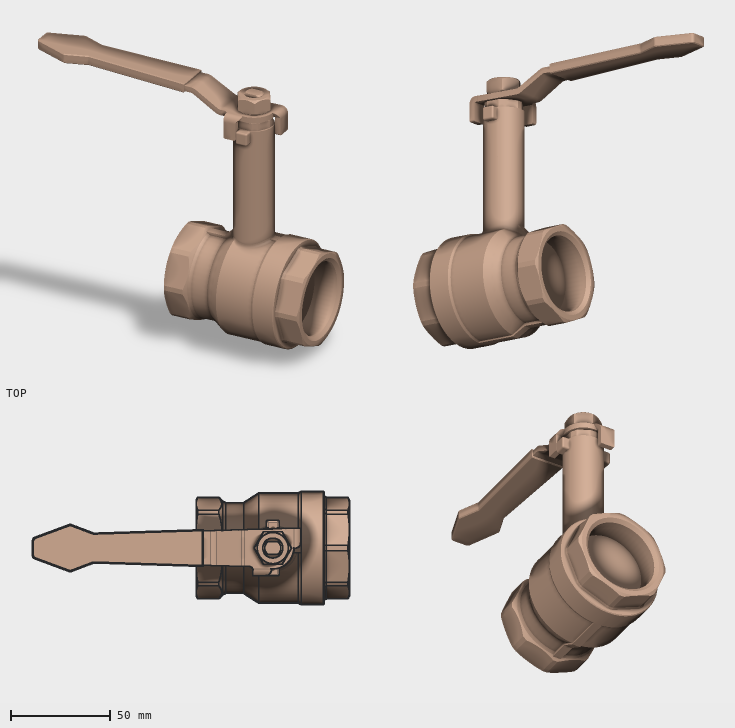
import cadquery as cq
import math


overall_length = 159.5
overall_height = 139.6

half_length = 38.6
ring_radius = 57.0 / 2
barrel_radius = 27.8
neck_radius = 22.8
collar_radius = 23.6
wrench_inner_left = -25.2
neck_start = -23.6
neck_end = -14.7
barrel_start = -7.0
barrel_end = 13.0
ring_start = 14.2
ring_end = 25.8
ring_chamfer = 0.5

octagon_sides = 8
octagon_apothem = 24.1
octagon_corner = 25.5
end_chamfer = 0.8
end_chamfer_radius = 24.0
end_rim_radius = 2 * octagon_corner - end_chamfer_radius
inner_chamfer = 1.8
foot_length = 1.1
foot_flare = 0.6

bore_radius = 39.0 / 2
bore_mouth_radius = 21.4
bore_mouth_depth = 1.6
bore_depth = 14.4

rib_width = 4.6
neck_rib_radius = 24.2
rib_shoulder_start = -15.5
rib_shoulder_end = -10.4
rib_shoulder_top = 29.7

column_radius = 21.0 / 2
column_top = 90.5
column_fillet = 1.6
lug_width = 6.5
lug_reach = 14.0
lug_height = 6.9
lug_fillet = 1.0
gland_sides = 6
gland_apothem = 9.4
gland_corner = 9.9
gland_top = 94.6
shaft_radius = 10.0 / 2
shaft_top = 107.5
shaft_chamfer_height = 0.6
shaft_chamfer_width = 1.0
shaft_flat = 6.2

sheet = 3.0
plate_top = 98.3
plate_bottom = plate_top - sheet
plate_half_width = 10.0
plate_edge_x = 10.5
tail_x = -36.7
tail_half_width = 8.6
strip_half_width = 9.3
relief_radius = 2.9
relief_left = -13.5
upper_bend_x = -30.1
lower_bend_x = -15.5
bend_angle = 30
bend_inner_radius = 3.0

flap_bottom = 85.3
flap_corner_fillet = 0.8
plate_root = 9.0
bend_outer_radius = 3.5
front_flap_left = -10.0
front_flap_right = -3.2
front_flap_slant = 2.5
side_flap_right = 1.9
side_flap_slant = 2.0

grip_left = half_length - overall_length
grip_right = -35.0
grip_thickness = 5.3
grip_slope = 2.0
grip_top = overall_height - ring_radius
tip_half_width = 5.0
bulge_x = -102.0
bulge_half_width = 12.0
waist_x = -90.1
waist_half_width = 7.5
butt_half_width = 9.3
tip_fillet = 1.9
bulge_fillet = 1.3
grip_edge_chamfer = 0.5

nut_sides = 6
nut_radius = 9.4
nut_top = 106.7
nut_chamfer_radius = 7.8
nut_chamfer_height = 1.5


def polar(radius, angle):
    return (radius * math.cos(angle), radius * math.sin(angle))


def blunt_polygon(sides, apothem, corner):
    """Regular polygon whose corners are cut flat at the distance `corner` from its centre."""
    half_step = math.pi / sides
    half_cut = (apothem - corner * math.cos(half_step)) / math.sin(half_step)
    reach = math.hypot(corner, half_cut)
    swing = math.atan2(half_cut, corner)
    points = []
    for i in range(sides):
        middle = 2 * half_step * i
        points.append(polar(reach, middle - swing))
        points.append(polar(reach, middle + swing))
    return points


def turned(points):
    """Solid of revolution about the pipe axis from (x, radius) points."""
    return cq.Workplane("XY").polyline(points).close().revolve(360, (0, 0, 0), (1, 0, 0))


def box(x_range, y_range, z_range):
    size = [high - low for low, high in (x_range, y_range, z_range)]
    corner = (x_range[0], y_range[0], z_range[0])
    return cq.Workplane("XY").box(*size, centered=False).translate(corner)


def octagon_prism(start, length, growth=0.0, taper=0.0):
    outline = blunt_polygon(octagon_sides, octagon_apothem + growth, octagon_corner + growth)
    return cq.Workplane("YZ").workplane(offset=start).polyline(outline).close().extrude(length, taper=taper)


def make_barrel():
    return turned([
        (wrench_inner_left, 0),
        (wrench_inner_left, collar_radius),
        (neck_start, neck_radius),
        (neck_end, neck_radius),
        (barrel_start, barrel_radius),
        (barrel_end, barrel_radius),
        (ring_start, ring_radius),
        (ring_end - ring_chamfer, ring_radius),
        (ring_end, ring_radius - ring_chamfer),
        (ring_end, 0),
    ])


def make_left_end():
    prism = octagon_prism(-half_length, wrench_inner_left + half_length)
    envelope = turned([
        (-half_length, 0),
        (-half_length, end_chamfer_radius),
        (-half_length + 2 * end_chamfer, end_rim_radius),
        (wrench_inner_left - 2 * inner_chamfer, end_rim_radius),
        (wrench_inner_left, collar_radius),
        (wrench_inner_left, 0),
    ])
    return prism.intersect(envelope)


def make_right_end():
    prism = octagon_prism(ring_end, half_length - ring_end)
    envelope = turned([
        (ring_end, 0),
        (ring_end, end_rim_radius),
        (half_length - 2 * end_chamfer, end_rim_radius),
        (half_length, end_chamfer_radius),
        (half_length, 0),
    ])
    taper = math.degrees(math.atan2(foot_flare, foot_length))
    foot = octagon_prism(ring_end, foot_length, foot_flare, taper)
    return prism.intersect(envelope).union(foot)


def make_bore():
    left = turned([
        (-half_length, 0),
        (-half_length, bore_mouth_radius),
        (-half_length + bore_mouth_depth, bore_radius),
        (-half_length + bore_depth, bore_radius),
        (-half_length + bore_depth, 0),
    ])
    return left.union(left.mirror("YZ"))


def make_ribs():
    """Thin web along the body, running up to the column on top and to the ring below."""
    outline = [
        (wrench_inner_left - inner_chamfer, 0),
        (wrench_inner_left - inner_chamfer, neck_rib_radius),
        (rib_shoulder_start, neck_rib_radius),
        (rib_shoulder_end, rib_shoulder_top),
        (0, rib_shoulder_top),
        (0, ring_radius),
        (ring_start, ring_radius),
        (ring_start, -ring_radius),
        (barrel_start, -ring_radius),
        (neck_end, -neck_rib_radius),
        (wrench_inner_left - inner_chamfer, -neck_rib_radius),
    ]
    return cq.Workplane("XZ").polyline(outline).close().extrude(rib_width / 2, both=True)


def make_lugs():
    half = lug_width / 2
    bar = box((-half, half), (-lug_reach, lug_reach), (column_top - lug_height, column_top))
    return bar.edges().fillet(lug_fillet)


def make_gland():
    outline = blunt_polygon(gland_sides, gland_apothem, gland_corner)
    gland = cq.Workplane("XY").workplane(offset=column_top).polyline(outline).close()
    return gland.extrude(gland_top - column_top)


def make_shaft():
    section = cq.Workplane("XY").workplane(offset=column_top).circle(shaft_radius)
    shaft = section.extrude(shaft_top - column_top)
    shaft = shaft.faces(">Z").chamfer(shaft_chamfer_height, shaft_chamfer_width)
    for side in (1, -1):
        near, far = sorted((side * shaft_flat / 2, side * shaft_radius))
        shaft = shaft.cut(box((-shaft_radius, shaft_radius), (near, far), (plate_top, shaft_top)))
    return shaft


def make_plate():
    """Cranked sheet: the side profile of the strip cut to the plan outline."""
    rise = (lower_bend_x - upper_bend_x) * math.tan(math.radians(bend_angle))
    shift = sheet / 2 * math.tan(math.radians(bend_angle / 2))
    half = sheet / 2
    low = plate_bottom + half
    high = low + rise
    profile = (
        cq.Workplane("XZ")
        .moveTo(tail_x, high + half)
        .lineTo(upper_bend_x + shift, high + half)
        .lineTo(lower_bend_x + shift, low + half)
        .lineTo(plate_edge_x, low + half)
        .lineTo(plate_edge_x, low - half)
        .lineTo(lower_bend_x - shift, low - half)
        .lineTo(upper_bend_x - shift, high - half)
        .lineTo(tail_x, high - half)
        .close()
        .extrude(2 * plate_half_width, both=True)
    )
    outer = bend_inner_radius + sheet
    for x, z, radius in (
        (upper_bend_x + shift, high + half, outer),
        (upper_bend_x - shift, high - half, bend_inner_radius),
        (lower_bend_x + shift, low + half, bend_inner_radius),
        (lower_bend_x - shift, low - half, outer),
    ):
        profile = profile.edges(cq.NearestToPointSelector((x, 0, z))).fillet(radius)

    arc_middle = polar(column_radius, -math.pi / 4)
    plan = (
        cq.Workplane("XY")
        .moveTo(tail_x, tail_half_width)
        .lineTo(plate_edge_x, plate_half_width)
        .lineTo(plate_edge_x, 0)
        .threePointArc(arc_middle, (0, -column_radius))
        .lineTo(front_flap_left, -column_radius)
        .radiusArc((relief_left, -strip_half_width), -relief_radius)
        .lineTo(tail_x, -tail_half_width)
        .close()
        .extrude(shaft_top)
    )
    return profile.intersect(plan)


def make_flap(near, far, slant):
    """Flap bent down at +X, spanning `near` to `far` in Y, widened towards the plate by `slant`."""
    edge = column_radius
    outside = edge + bend_outer_radius
    inside = outside - sheet
    bend_z = plate_top - bend_outer_radius
    sweep = bend_outer_radius / math.sqrt(2)
    side = (
        cq.Workplane("XZ")
        .moveTo(0, plate_top)
        .lineTo(edge, plate_top)
        .threePointArc((edge + sweep, bend_z + sweep), (outside, bend_z))
        .lineTo(outside, flap_bottom)
        .lineTo(inside, flap_bottom)
        .lineTo(inside, plate_bottom)
        .lineTo(0, plate_bottom)
        .close()
        .extrude(2 * plate_half_width, both=True)
    )
    face = [
        (near, flap_bottom),
        (far, flap_bottom),
        (far, plate_top),
        (near - slant, plate_top),
        (near, plate_bottom),
    ]
    blank = cq.Workplane("YZ").workplane(offset=plate_root).polyline(face).close()
    blank = blank.extrude(outside - plate_root)
    for y in (near, far):
        foot = cq.NearestToPointSelector((inside, y, flap_bottom))
        blank = blank.edges("|X").edges(foot).fillet(flap_corner_fillet)
    return side.intersect(blank)


def make_flaps():
    side_flap = make_flap(side_flap_right, plate_half_width, side_flap_slant)
    front_flap = make_flap(-front_flap_right, -front_flap_left, front_flap_slant)
    return side_flap.union(front_flap.mirror("XZ").rotate((0, 0, 0), (0, 0, 1), -90))


def make_grip():
    half_outline = [
        (grip_left, tip_half_width),
        (bulge_x, bulge_half_width),
        (waist_x, waist_half_width),
        (grip_right, butt_half_width),
    ]
    outline = half_outline + [(x, -y) for x, y in reversed(half_outline)]
    plan = cq.Workplane("XY").polyline(outline).close().extrude(grip_top)
    for (x, y), radius in zip(half_outline, (tip_fillet, bulge_fillet)):
        for side in (1, -1):
            plan = plan.edges(cq.NearestToPointSelector((x, side * y, grip_top / 2))).fillet(radius)

    drop = (grip_right - grip_left) * math.tan(math.radians(grip_slope))
    side_outline = [
        (grip_left, grip_top),
        (grip_right, grip_top - drop),
        (grip_right, grip_top - drop - grip_thickness),
        (grip_left, grip_top - grip_thickness),
    ]
    side = cq.Workplane("XZ").polyline(side_outline).close().extrude(2 * bulge_half_width, both=True)
    return plan.intersect(side).faces(">Z or <Z").chamfer(grip_edge_chamfer)


def make_nut():
    hexagon = cq.Workplane("XY").workplane(offset=plate_top).polygon(nut_sides, 2 * nut_radius)
    prism = hexagon.extrude(nut_top - plate_top)
    rim_low = plate_top + nut_chamfer_height
    rim_high = nut_top - nut_chamfer_height
    envelope = (
        cq.Workplane("XZ")
        .polyline([
            (shaft_radius, plate_top),
            (nut_chamfer_radius, plate_top),
            (nut_radius, rim_low),
            (nut_radius, rim_high),
            (nut_chamfer_radius, nut_top),
            (shaft_radius, nut_top),
        ])
        .close()
        .revolve(360, (0, 0, 0), (0, 1, 0))
    )
    return prism.intersect(envelope)


column = cq.Workplane("XY").circle(column_radius).extrude(column_top)
body = make_barrel().union(column)
root = cq.selectors.BoxSelector(
    (-column_radius, -column_radius, collar_radius),
    (column_radius, column_radius, ring_radius),
)
body = body.edges(root).fillet(column_fillet)

body = body.union(make_left_end()).union(make_right_end()).union(make_ribs())
body = body.cut(make_bore())
body = body.union(make_lugs()).union(make_gland()).union(make_shaft())

lever = make_plate().union(make_flaps()).union(make_grip())
result = body.union(lever).union(make_nut())